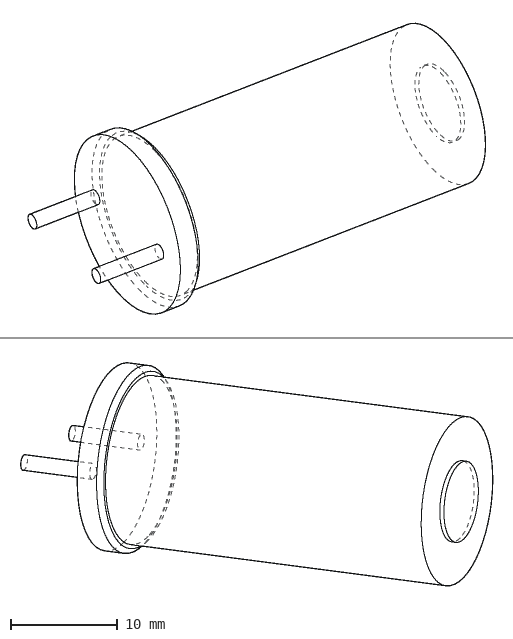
import cadquery as cq

total_length = 42.7
flange_diameter = 17.8
flange_thickness = 2.5
flange_chamfer = 0.5
body_diameter = 16.0
boss_diameter = 7.7
boss_height = 0.43
pin_diameter = 1.5
pin_length = 7.15
pin_spacing = 10.7

boss_end = total_length - pin_length
body_end = boss_end - boss_height


def cylinder_along_y(diameter, y_start, y_end, x_center=0.0):
    """Solid cylinder parallel to Y between two Y positions."""
    start = cq.Vector(x_center, y_start, 0)
    axis = cq.Vector(0, 1, 0)
    return cq.Workplane(cq.Solid.makeCylinder(diameter / 2, y_end - y_start, start, axis))


flange = cylinder_along_y(flange_diameter, 0, flange_thickness)
flange = flange.faces(">Y").edges().chamfer(flange_chamfer)

body = cylinder_along_y(body_diameter, 0, body_end)
boss = cylinder_along_y(boss_diameter, 0, boss_end)

result = flange.union(body).union(boss)

for side in (-1, 1):
    pin = cylinder_along_y(pin_diameter, -pin_length, flange_thickness / 2, side * pin_spacing / 2)
    result = result.union(pin)